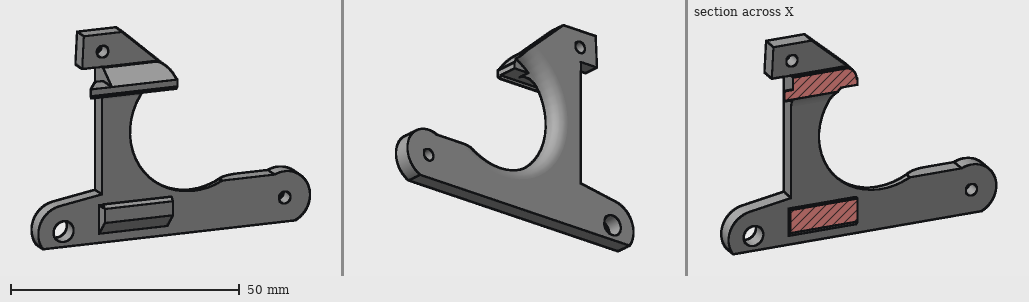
import cadquery as cq
import math

plate_thickness = 4.0
plate_height = 47.5
end_radius = 6.0
small_hole_diameter = 2.7
large_hole_diameter = 4.7
front_hole = (0.0, 3.5)
back_hole = (52.23, 5.5)
head_hole = (9.2, 43.5)

post_front_y = 9.0
foot_top_z = 11.0
head_bottom_z = 40.05
head_bottom_front_y = 4.37
head_top_front_y = 4.76
head_top_back_y = 13.95
nose_radius = 3.0
nose_back_y = 24.33

opening_center = (30.7, 24.4)
opening_radius = 15.0
rim_radius = 3.0

upper_clip_reach = 9.85
upper_clip_back_y = 24.5
upper_clip_bottom_z = 35.5
upper_lip_top_z = 37.05
upper_wedge_start_x = 4.75
upper_lip_front_y = 7.06
upper_lip_tip_y = 3.96
root_radius = 3.0

lower_clip_reach = 7.2
lower_clip_front_y = 8.4
lower_clip_top_z = 8.6
lower_clip_chamfer_z = 5.4
lower_clip_bottom_z = 2.1

barb_width = 1.03
barb_height = 0.8
barb_tip_width = 0.23

quarter_arc_inset = 1 - math.sqrt(0.5)

nose_center = (nose_back_y - nose_radius, head_bottom_z - nose_radius)


def hole(center, diameter):
    """Round bore through the plate along X."""
    return cq.Workplane("YZ").center(*center).circle(diameter / 2).extrude(plate_thickness)


def extrude_along_y(profile, y_start, y_end):
    """Extrude a closed XZ wire profile from y_start to y_end."""
    return profile.close().extrude(-(y_end - y_start)).translate((0, y_start, 0))


def end_chord(center):
    """Half-length of the straight bottom edge cut into a round end."""
    return math.sqrt(end_radius**2 - center[1] ** 2)


def circle_point(center, radius, angle):
    """Point on a circle at an angle (radians) measured from +Y toward +Z."""
    return (center[0] + radius * math.cos(angle), center[1] + radius * math.sin(angle))


def tangent_angle(center, radius, point, side):
    """Angle where a line from an outside point touches a circle; side is +1 or -1."""
    dy = point[0] - center[0]
    dz = point[1] - center[1]
    return math.atan2(dz, dy) + side * math.acos(radius / math.hypot(dy, dz))


def make_plate():
    foot_corner = (post_front_y, foot_top_z)
    head_corner = (head_top_back_y, plate_height)
    foot_angle = tangent_angle(front_hole, end_radius, foot_corner, 1)
    nose_angle = tangent_angle(nose_center, nose_radius, head_corner, -1)
    back_rise = foot_top_z - back_hole[1]
    back_flat_y = back_hole[0] - math.sqrt(end_radius**2 - back_rise**2)
    return (
        cq.Workplane("YZ")
        .moveTo(front_hole[0] - end_chord(front_hole), 0)
        .threePointArc(
            circle_point(front_hole, end_radius, math.pi),
            circle_point(front_hole, end_radius, foot_angle),
        )
        .lineTo(*foot_corner)
        .lineTo(post_front_y, head_bottom_z)
        .lineTo(head_bottom_front_y, head_bottom_z)
        .lineTo(head_top_front_y, plate_height)
        .lineTo(*head_corner)
        .lineTo(*circle_point(nose_center, nose_radius, nose_angle))
        .threePointArc(
            circle_point(nose_center, nose_radius, nose_angle / 2),
            (nose_back_y, nose_center[1]),
        )
        .lineTo(nose_back_y, foot_top_z)
        .lineTo(back_flat_y, foot_top_z)
        .threePointArc(
            circle_point(back_hole, end_radius, 0),
            (back_hole[0] + end_chord(back_hole), 0),
        )
        .close()
        .extrude(plate_thickness)
    )


def make_opening():
    """Cutter for the opening: a bore that flares out to the -X face along a convex rim."""
    outer = opening_radius + rim_radius
    rim_offset = rim_radius * quarter_arc_inset
    return (
        cq.Workplane("XY")
        .moveTo(0, 0)
        .lineTo(0, outer)
        .threePointArc((rim_offset, opening_radius + rim_offset), (rim_radius, opening_radius))
        .lineTo(plate_thickness, opening_radius)
        .lineTo(plate_thickness, 0)
        .close()
        .revolve(360, (0, 0, 0), (1, 0, 0))
        .translate((0, *opening_center))
    )


def make_upper_clip():
    barb_start_x = upper_clip_reach - barb_width
    barb_tip_z = upper_clip_bottom_z - barb_height
    lip_profile = (
        cq.Workplane("XZ")
        .moveTo(plate_thickness, upper_lip_top_z)
        .lineTo(upper_clip_reach, upper_lip_top_z)
        .lineTo(upper_clip_reach, upper_clip_bottom_z)
        .lineTo(barb_start_x + barb_tip_width, barb_tip_z)
        .lineTo(barb_start_x, barb_tip_z)
        .lineTo(barb_start_x, upper_clip_bottom_z)
        .lineTo(plate_thickness, upper_clip_bottom_z)
    )
    lip = extrude_along_y(lip_profile, upper_lip_tip_y, upper_clip_back_y)

    wedge_profile = (
        cq.Workplane("XZ")
        .moveTo(plate_thickness, upper_lip_top_z)
        .lineTo(plate_thickness, head_bottom_z)
        .lineTo(upper_wedge_start_x, head_bottom_z)
        .lineTo(upper_clip_reach, upper_lip_top_z)
    )
    wedge = extrude_along_y(wedge_profile, post_front_y, nose_back_y)

    corner = (
        cq.Workplane("YZ")
        .center(*nose_center)
        .rect(nose_radius, nose_radius, centered=False)
        .extrude(upper_clip_reach)
    )
    nose = cq.Workplane("YZ").center(*nose_center).circle(nose_radius).extrude(upper_clip_reach)
    wedge = wedge.cut(corner.cut(nose))

    root_end_x = plate_thickness + root_radius
    root_start_z = upper_clip_bottom_z - root_radius
    root_offset = root_radius * quarter_arc_inset
    root_profile = (
        cq.Workplane("XZ")
        .moveTo(plate_thickness, upper_clip_bottom_z)
        .lineTo(plate_thickness, root_start_z)
        .threePointArc(
            (plate_thickness + root_offset, upper_clip_bottom_z - root_offset),
            (root_end_x, upper_clip_bottom_z),
        )
    )
    root = extrude_along_y(root_profile, upper_lip_tip_y, opening_center[0])
    opening_clearance = (
        cq.Workplane("YZ")
        .center(*opening_center)
        .circle(opening_radius)
        .extrude(upper_clip_reach)
    )
    root = root.cut(opening_clearance)

    plan = (
        cq.Workplane("XY")
        .moveTo(plate_thickness, upper_clip_back_y)
        .lineTo(plate_thickness, post_front_y)
        .lineTo(upper_wedge_start_x, post_front_y)
        .lineTo(upper_wedge_start_x, upper_lip_front_y)
        .lineTo(upper_clip_reach, upper_lip_tip_y)
        .lineTo(upper_clip_reach, upper_clip_back_y)
        .close()
        .extrude(plate_height)
    )
    return lip.union(wedge).union(root).intersect(plan)


def make_lower_clip():
    barb_start_x = lower_clip_reach - barb_width
    barb_tip_z = lower_clip_top_z + barb_height
    profile = (
        cq.Workplane("XZ")
        .moveTo(plate_thickness, lower_clip_bottom_z)
        .lineTo(lower_clip_reach, lower_clip_chamfer_z)
        .lineTo(lower_clip_reach, lower_clip_top_z)
        .lineTo(barb_start_x + barb_tip_width, barb_tip_z)
        .lineTo(barb_start_x, barb_tip_z)
        .lineTo(barb_start_x, lower_clip_top_z)
        .lineTo(plate_thickness, lower_clip_top_z)
    )
    return extrude_along_y(profile, lower_clip_front_y, upper_clip_back_y)


plate = make_plate().cut(make_opening())
plate = plate.cut(hole(front_hole, large_hole_diameter))
for small_hole in (back_hole, head_hole):
    plate = plate.cut(hole(small_hole, small_hole_diameter))

result = plate.union(make_upper_clip()).union(make_lower_clip())